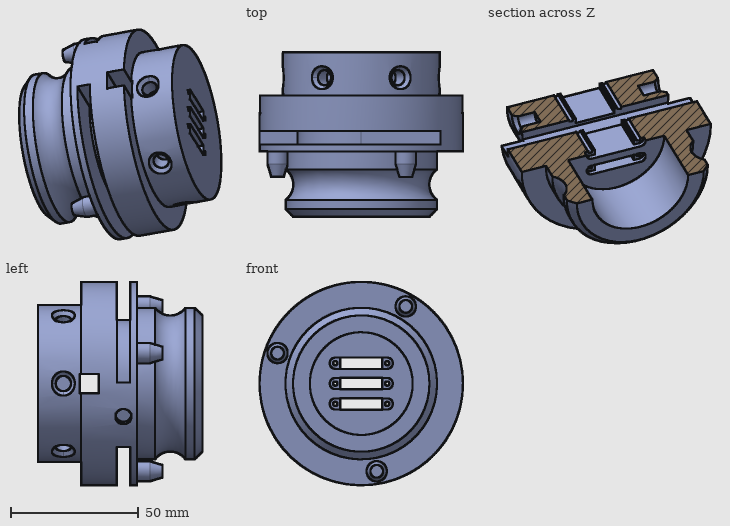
import cadquery as cq
import math


overrun = 1.0

neck_radius = 29.8
front_chamfer_length = 3.1
front_chamfer_depth = 3.0
front_band_length = 3.6
groove_length = 12.0
groove_depth = 3.0
neck_length = 25.7
flange_radius = 40.0
flange_length = 22.0
rear_radius = 30.9
rear_length = 17.0

flange_front = neck_length
flange_rear = flange_front + flange_length
total_length = flange_rear + rear_length
groove_front = front_chamfer_length + front_band_length
groove_middle = groove_front + groove_length / 2
groove_rear = groove_front + groove_length

bore_radius = 20.2
bore_depth = neck_length

connector_count = 3
connector_pitch = 8.0
connector_height = 4.4
connector_window_length = 16.4
connector_screw_spacing = 20.4
connector_screw_diameter = 1.6
connector_recess_depth = 2.0

pin_circle_radius = 35.0
pin_angles = (60, 160, 280)
pin_radius = 4.0
pin_tip_radius = 2.5
pin_straight_length = 5.0
pin_taper_length = 5.0

front_rim_thickness = 2.8
bayonet_angles = (0, 180)
bayonet_width = 5.2
bayonet_floor_radius = 25.0
bayonet_end_offset = 0.5
bayonet_front = flange_front + front_rim_thickness
bayonet_middle = bayonet_front + bayonet_width / 2

detent_angle = 199
detent_diameter = 6.3
detent_depth = 3.0

key_slot_height = 7.5
key_slot_depth_in_flange = 6.9
key_slot_depth_in_rear = 0.5
key_slot_front = flange_rear - key_slot_depth_in_flange
key_slot_length = key_slot_depth_in_flange + key_slot_depth_in_rear

rear_hole_count = 6
rear_hole_offset = 7.0
rear_hole_position = flange_rear + rear_hole_offset
rear_hole_diameter = 6.0
rear_hole_depth = 9.0
countersink_depth = 2.0
countersink_axial_radius = 4.5
countersink_side_radius = 5.15


def revolve_about_y(profile):
    """Close an XY outline that starts and ends on the Y axis, and turn it about that axis."""
    return profile.close().revolve(360, (0, 0, 0), (0, 1, 0))


def prism(sketch, length):
    """Extrude a sketch drawn on the XZ plane towards +Y."""
    return sketch.extrude(-length)


def xz_plane(y):
    """Sketch plane across the axis at y, with local x = X and local y = Z."""
    return cq.Workplane("XZ", origin=(0, y, 0))


def turned_body():
    profile = (
        cq.Workplane("XY")
        .moveTo(0, 0)
        .lineTo(neck_radius - front_chamfer_depth, 0)
        .lineTo(neck_radius, front_chamfer_length)
        .lineTo(neck_radius, groove_front)
        .threePointArc((neck_radius - groove_depth, groove_middle), (neck_radius, groove_rear))
        .lineTo(neck_radius, flange_front)
        .lineTo(flange_radius, flange_front)
        .lineTo(flange_radius, flange_rear)
        .lineTo(rear_radius, flange_rear)
        .lineTo(rear_radius, total_length)
        .lineTo(0, total_length)
    )
    return revolve_about_y(profile)


def front_bore():
    return prism(xz_plane(0).circle(bore_radius), bore_depth)


def connector_openings():
    """Windows and screw holes through to the rear, each set in a shallow round-ended recess."""
    lowest = -connector_pitch * (connector_count - 1) / 2
    centres = [(0, lowest + i * connector_pitch) for i in range(connector_count)]
    screws = [(side * connector_screw_spacing / 2, z) for _, z in centres for side in (-1, 1)]
    recess_length = connector_screw_spacing + connector_height
    through_length = total_length - bore_depth

    floor = xz_plane(bore_depth)
    recess_sketch = floor.pushPoints(centres).slot2D(recess_length, connector_height)
    recesses = prism(recess_sketch, connector_recess_depth)
    windows = prism(floor.pushPoints(centres).rect(connector_window_length, connector_height), through_length)
    screw_holes = prism(floor.pushPoints(screws).circle(connector_screw_diameter / 2), through_length)
    return recesses.union(windows).union(screw_holes)


def locating_pin(angle):
    """Straight pin with a tapered tip, standing forward from the flange face."""
    pin_length = pin_straight_length + pin_taper_length
    profile = (
        cq.Workplane("XY")
        .lineTo(pin_radius, 0)
        .lineTo(pin_radius, -pin_straight_length)
        .lineTo(pin_tip_radius, -pin_length)
        .lineTo(0, -pin_length)
    )
    x = pin_circle_radius * math.cos(math.radians(angle))
    z = pin_circle_radius * math.sin(math.radians(angle))
    return revolve_about_y(profile).translate((x, flange_front, z))


def bayonet_slot():
    """Rim slot with a quarter-round floor that runs out tangentially at the top."""
    reach = flange_radius + overrun
    floor_end = math.sqrt(bayonet_floor_radius**2 - bayonet_end_offset**2)
    diagonal = bayonet_floor_radius * math.sqrt(0.5)
    outline = (
        xz_plane(bayonet_front)
        .moveTo(-reach, bayonet_end_offset)
        .lineTo(-floor_end, bayonet_end_offset)
        .threePointArc((-diagonal, diagonal), (0, bayonet_floor_radius))
        .lineTo(reach, bayonet_floor_radius)
        .lineTo(reach, reach)
        .lineTo(-reach, reach)
        .close()
    )
    return prism(outline, bayonet_width)


def turn_about_y(shape, angle):
    """Turn a shape from +X towards +Z."""
    return shape.rotate((0, 0, 0), (0, 1, 0), -angle)


def detent_hole():
    hole = (
        cq.Workplane("YZ", origin=(flange_radius - detent_depth, bayonet_middle, 0))
        .circle(detent_diameter / 2)
        .extrude(detent_depth + overrun)
    )
    return turn_about_y(hole, detent_angle)


def key_slot():
    slot = prism(xz_plane(0).rect(2 * (flange_radius + overrun), key_slot_height), key_slot_length)
    return slot.translate((0, key_slot_front, 0))


def rear_hole(angle):
    """Radial blind hole with a countersink slightly wider around the body than along it."""
    bore_length = rear_hole_depth - countersink_depth
    bore = (
        cq.Workplane("YZ", origin=(rear_radius - rear_hole_depth, rear_hole_position, 0))
        .circle(rear_hole_diameter / 2)
        .extrude(bore_length)
    )
    countersink = (
        cq.Workplane("YZ", origin=(rear_radius - countersink_depth, rear_hole_position, 0))
        .circle(rear_hole_diameter / 2)
        .workplane(offset=countersink_depth)
        .ellipse(countersink_axial_radius, countersink_side_radius)
        .loft(ruled=True)
    )
    return turn_about_y(bore.union(countersink), angle)


result = turned_body()
for pin_angle in pin_angles:
    result = result.union(locating_pin(pin_angle))
result = result.cut(front_bore()).cut(connector_openings())
for slot_angle in bayonet_angles:
    result = result.cut(turn_about_y(bayonet_slot(), slot_angle))
result = result.cut(detent_hole()).cut(key_slot())
for i in range(rear_hole_count):
    result = result.cut(rear_hole(i * 360 / rear_hole_count))